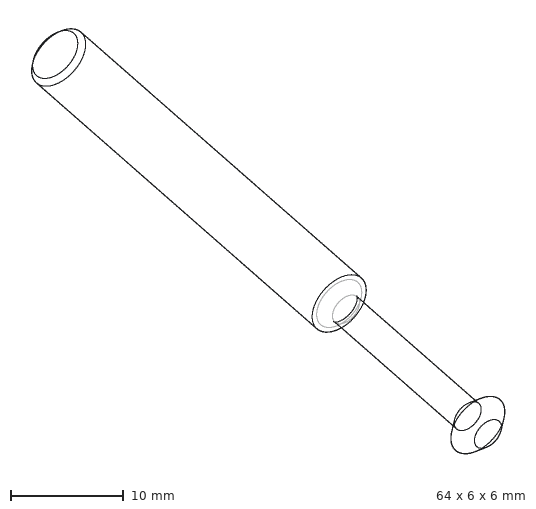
import cadquery as cq

total_length = 64.0
shank_diameter = 6.0
shank_length = 42.0
shank_chamfer = 0.5
neck_diameter = 3.0
neck_fillet = 1.0
head_diameter = 6.0
tip_diameter = 3.0
cone_length = 1.5

shank_radius = shank_diameter / 2
neck_radius = neck_diameter / 2
head_radius = head_diameter / 2
tip_radius = tip_diameter / 2
rim_x = total_length - cone_length
head_start_x = rim_x - cone_length


def turned_profile():
    """Half section above the axis, from the chamfered shank to the double-cone head."""
    return (
        cq.Workplane("XY")
        .moveTo(0, 0)
        .lineTo(0, shank_radius - shank_chamfer)
        .lineTo(shank_chamfer, shank_radius)
        .lineTo(shank_length, shank_radius)
        .lineTo(shank_length, neck_radius + neck_fillet)
        .radiusArc((shank_length + neck_fillet, neck_radius), -neck_fillet)
        .lineTo(head_start_x, neck_radius)
        .lineTo(rim_x, head_radius)
        .lineTo(total_length, tip_radius)
        .lineTo(total_length, 0)
        .close()
    )


result = turned_profile().revolve(360, (0, 0, 0), (1, 0, 0))